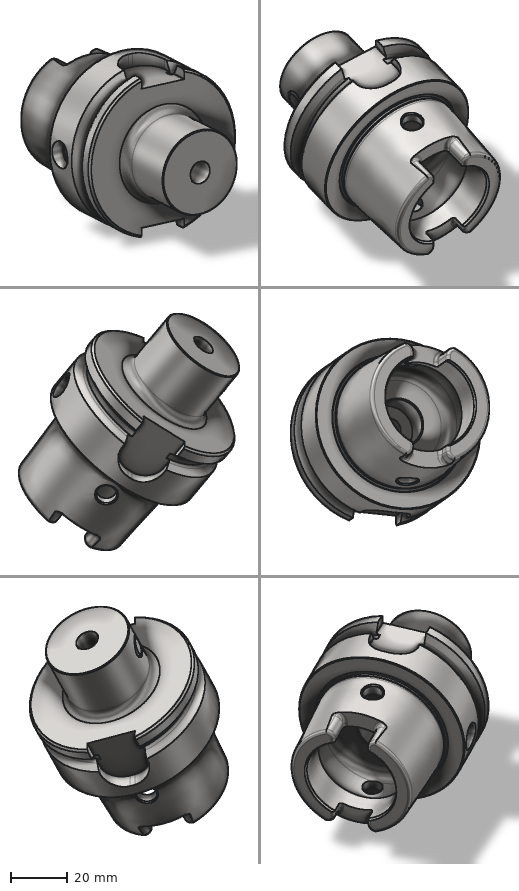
import cadquery as cq
import math

length = 81.9
flange_start = 32.0
flange_end = 58.0
flange_radius = 31.49

shank_front_radius = 22.85
shank_rear_radius = 24.25
shank_taper_end = 29.9
shank_land_end = 30.7
relief_start = 31.2
relief_radius = 24.0
relief_depth = 0.3
relief_outer_radius = 25.3
shank_edge_round = 1.2

flange_front_chamfer = 0.3
flange_rear_chamfer = 0.8
groove_front = 46.5
groove_rear = 53.4
groove_floor_front = 48.7
groove_floor_rear = 51.1
groove_floor_radius = 27.4
groove_flank_width = 1.6
groove_flank_radius = 28.7

nose_radius = 16.0
nose_fillet_radius = 4.0
nose_fillet_length = 3.8
nose_chamfer = 0.3

socket_radius = 16.95
socket_mouth_chamfer = 0.5
socket_mouth_length = 1.0
socket_recess_start = 13.2
socket_recess_radius = 20.0
socket_recess_end = 26.2
socket_floor_fillet = 4.25
thread_radius = 8.6
thread_chamfer = 0.4
thread_depth = 9.8
through_radius = 4.2

slot_half_width = 6.3
slot_side_round = 3.0
slot_shelf_height = 20.8
slot_shelf_half_width = 13.1
slot_end_round = 1.3
upper_slot_depth = 10.3
lower_slot_depth = 6.2

cross_hole_position = 22.8
cross_hole_radius = 3.7
cross_hole_chamfer = 0.5

keyway_width = 18.2
keyway_floor_height = 26.4
keyway_start = 36.9
keyway_corner_radius = 8.2

recess_position = 38.9
recess_radius = 5.0
recess_depth = 4.9
recess_floor_chamfer = 0.3

screw_position = 72.6
screw_radius = 4.0
screw_length = 8.2
screw_chamfer = 1.1

clearance = 0.8
slot_top = shank_rear_radius + clearance


def turned_blank():
    """Revolved outside: shank, flange with gripping groove, and nose."""
    fillet_rise = nose_fillet_radius - math.sqrt(nose_fillet_radius**2 - nose_fillet_length**2)
    profile = (
        cq.Workplane("XY")
        .moveTo(0, 0)
        .lineTo(0, shank_front_radius - shank_edge_round)
        .radiusArc((shank_edge_round, shank_front_radius), shank_edge_round)
        .lineTo(shank_taper_end, shank_rear_radius)
        .lineTo(shank_land_end, shank_rear_radius)
        .lineTo(relief_start, relief_radius)
        .lineTo(flange_start + relief_depth, relief_radius)
        .lineTo(flange_start + relief_depth, relief_outer_radius - relief_depth)
        .lineTo(flange_start, relief_outer_radius)
        .lineTo(flange_start, flange_radius - flange_front_chamfer)
        .lineTo(flange_start + flange_front_chamfer, flange_radius)
        .lineTo(groove_front, flange_radius)
        .lineTo(groove_front + groove_flank_width, groove_flank_radius)
        .lineTo(groove_floor_front, groove_floor_radius)
        .lineTo(groove_floor_rear, groove_floor_radius)
        .lineTo(groove_rear - groove_flank_width, groove_flank_radius)
        .lineTo(groove_rear, flange_radius)
        .lineTo(flange_end - flange_rear_chamfer, flange_radius)
        .lineTo(flange_end, flange_radius - flange_rear_chamfer)
        .lineTo(flange_end, nose_radius + fillet_rise)
        .radiusArc((flange_end + nose_fillet_length, nose_radius), -nose_fillet_radius)
        .lineTo(length - nose_chamfer, nose_radius)
        .lineTo(length, nose_radius - nose_chamfer)
        .lineTo(length, 0)
        .close()
    )
    return profile.revolve(360, (0, 0, 0), (1, 0, 0))


def axial_bores():
    """Revolved cutter: shank socket, threaded seat and through hole."""
    socket_depth = socket_recess_end + socket_floor_fillet
    floor_radius = socket_recess_radius - socket_floor_fillet
    thread_end = socket_depth + thread_depth
    profile = (
        cq.Workplane("XY")
        .moveTo(0, 0)
        .lineTo(0, socket_radius + socket_mouth_chamfer)
        .lineTo(socket_mouth_length, socket_radius)
        .lineTo(socket_recess_start, socket_radius)
        .lineTo(socket_recess_start, socket_recess_radius)
        .lineTo(socket_recess_end, socket_recess_radius)
        .radiusArc((socket_depth, floor_radius), socket_floor_fillet)
        .lineTo(socket_depth, thread_radius + thread_chamfer)
        .lineTo(socket_depth + thread_chamfer, thread_radius)
        .lineTo(thread_end, thread_radius)
        .lineTo(thread_end, through_radius)
        .lineTo(length, through_radius)
        .lineTo(length, 0)
        .close()
    )
    return profile.revolve(360, (0, 0, 0), (1, 0, 0))


def drive_slot(depth):
    """Cutter for the upper drive slot: a stem whose sides flare into a flat shelf."""
    shelf_edge = slot_half_width + slot_side_round
    flare_start = slot_shelf_height - slot_side_round
    section = (
        cq.Workplane("YZ")
        .moveTo(-slot_half_width, 0)
        .lineTo(slot_half_width, 0)
        .lineTo(slot_half_width, flare_start)
        .radiusArc((shelf_edge, slot_shelf_height), slot_side_round)
        .lineTo(slot_shelf_half_width, slot_shelf_height)
        .lineTo(slot_shelf_half_width, slot_top)
        .lineTo(-slot_shelf_half_width, slot_top)
        .lineTo(-slot_shelf_half_width, slot_shelf_height)
        .lineTo(-shelf_edge, slot_shelf_height)
        .radiusArc((-slot_half_width, flare_start), slot_side_round)
        .close()
    )
    wall_and_shelf = cq.selectors.BoxSelector(
        (depth - clearance, -slot_shelf_half_width + clearance, clearance),
        (depth + clearance, slot_shelf_half_width - clearance, slot_top - clearance),
    )
    slot = section.extrude(depth).faces(">X").edges(wall_and_shelf).fillet(slot_end_round)
    return slot.union(drive_slot_entry())


def drive_slot_entry():
    """Cutter that rounds the front edges of a drive slot, left over between two rounded teeth."""
    tooth_width = slot_shelf_half_width - slot_half_width
    entry = cq.Workplane("XY").box(
        shank_edge_round, 2 * slot_shelf_half_width, slot_top, centered=(False, True, False)
    )
    tooth = (
        cq.Workplane("XY", origin=(0, slot_half_width, 0))
        .box(2 * shank_edge_round, tooth_width, slot_shelf_height, centered=False)
        .edges("|X and >Z and <Y")
        .fillet(slot_side_round)
        .faces("<X")
        .edges("not(<Z or >Y)")
        .fillet(shank_edge_round)
    )
    return entry.cut(tooth).cut(tooth.mirror("XZ"))


def cut_cross_hole(body):
    """Hole across the shank, chamfered at both outer ends."""
    hole = (
        cq.Workplane("XY", origin=(cross_hole_position, 0, -flange_radius))
        .circle(cross_hole_radius)
        .extrude(2 * flange_radius)
    )
    reach = cross_hole_radius + clearance
    rims = cq.selectors.BoxSelector(
        (cross_hole_position - reach, -reach, socket_recess_radius + clearance),
        (cross_hole_position + reach, reach, flange_radius),
    ) + cq.selectors.BoxSelector(
        (cross_hole_position - reach, -reach, -flange_radius),
        (cross_hole_position + reach, reach, -socket_recess_radius - clearance),
    )
    return body.cut(hole).edges(rims).chamfer(cross_hole_chamfer)


def keyway():
    """Cutter for the upper keyway: rounded at the front, open to the rear of the flange."""
    keyway_length = flange_end + clearance - keyway_start
    return (
        cq.Workplane("XY", origin=(keyway_start, 0, keyway_floor_height))
        .box(keyway_length, keyway_width, flange_radius, centered=(False, True, False))
        .edges("|Z and <X")
        .fillet(keyway_corner_radius)
    )


def side_recess():
    """Cutter for the flat-bottomed recess in the -Y side of the flange."""
    return (
        cq.Workplane("XZ", origin=(recess_position, -(flange_radius - recess_depth), 0))
        .circle(recess_radius)
        .extrude(recess_depth + clearance)
        .faces(">Y")
        .chamfer(recess_floor_chamfer)
    )


def screw_shaft():
    """Plain cylinder along Y whose outer end is level with the nose."""
    return (
        cq.Workplane("XZ", origin=(screw_position, nose_radius, 0))
        .circle(screw_radius)
        .extrude(screw_length)
    )


def clamping_screw():
    """Headless screw on the +Y side with a chamfered outer end."""
    return screw_shaft().faces(">Y").chamfer(screw_chamfer)


def half_turn(tool):
    """The same tool on the opposite side of the axis."""
    return tool.rotate((0, 0, 0), (1, 0, 0), 180)


def make_holder():
    body = turned_blank().cut(axial_bores())
    body = body.cut(drive_slot(upper_slot_depth)).cut(half_turn(drive_slot(lower_slot_depth)))
    body = cut_cross_hole(body)
    body = body.cut(keyway()).cut(half_turn(keyway()))
    body = body.cut(side_recess())
    return body.cut(screw_shaft())


holder = make_holder()
screw = clamping_screw()

result = cq.Compound.makeCompound([holder.val(), screw.val()])